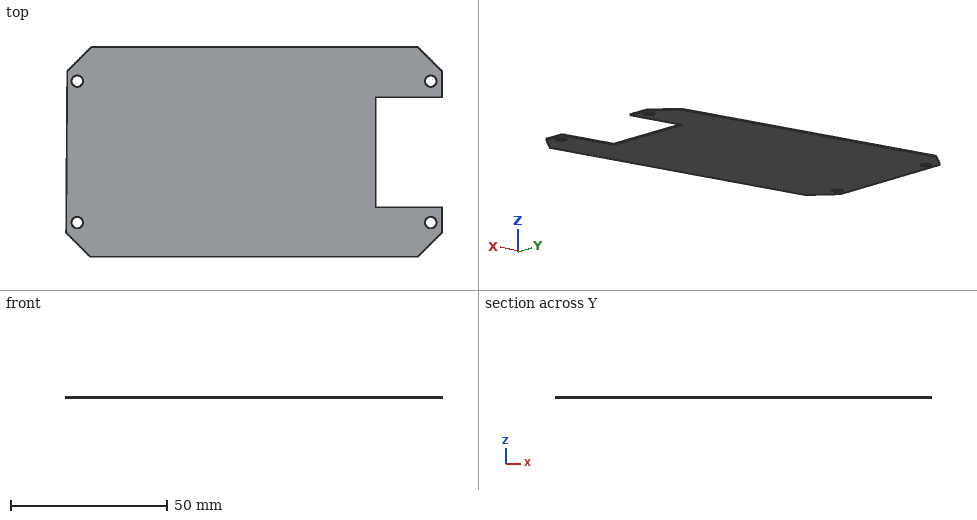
import cadquery as cq

length = 120.5
width = 67.4
thickness = 0.41
corner_cut = 7.8
left_edge_skew = 0.4

notch_depth = 21.2
notch_width = 35.2
notch_center_y = -0.1

hole_diameter = 3.6
hole_spacing_x = 113.3
hole_spacing_y = 45.3

right = length / 2
left_bottom = -length / 2
left_top = left_bottom + left_edge_skew
back = width / 2
front = -back
notch_floor = right - notch_depth
notch_front = notch_center_y - notch_width / 2
notch_back = notch_center_y + notch_width / 2

outline = [
    (left_bottom + corner_cut, front),
    (right - corner_cut, front),
    (right, front + corner_cut),
    (right, notch_front),
    (notch_floor, notch_front),
    (notch_floor, notch_back),
    (right, notch_back),
    (right, back - corner_cut),
    (right - corner_cut, back),
    (left_top + corner_cut, back),
    (left_top, back - corner_cut),
    (left_bottom, front + corner_cut),
]

plate = cq.Workplane("XY").polyline(outline).close().extrude(thickness)

holes = (
    cq.Workplane("XY")
    .rarray(hole_spacing_x, hole_spacing_y, 2, 2)
    .circle(hole_diameter / 2)
    .extrude(thickness)
)

result = plate.cut(holes)